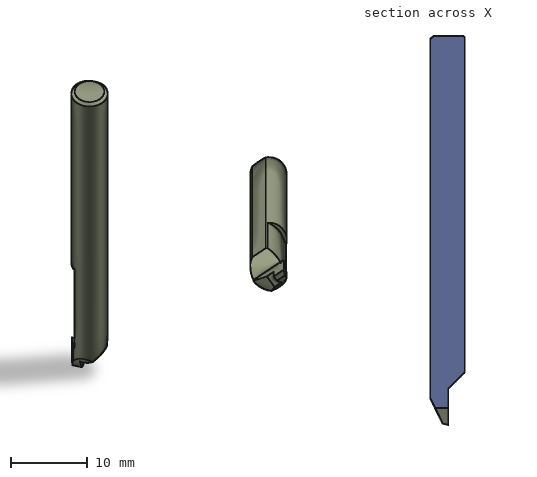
import cadquery as cq

length = 50.8
shank_radius = 2.4
flat_y = 2.15
chamfer_radial = 0.45
chamfer_height = 0.35

neck_top = 19.05
neck_bottom = 4.55
neck_x = -1.9
neck_front_y = -1.85
neck_back_y = 2.05
neck_bulge = 0.15

tooth_right_x = -0.8
tooth_step_z = 2.25
bevel_start_x = 0.25
tooth_side_x = -1.8
tip_land_y = -0.75
tip_land_z = 0.2
heel_z = 3.5
rake_ramp_z = 4.8

margin = 2.55
outside = shank_radius + margin


def shank_x(y):
    """X of the shank's -X side at the given Y."""
    return -((shank_radius**2 - y**2) ** 0.5)


def make_shank():
    profile = [
        (0, 0),
        (shank_radius, 0),
        (shank_radius, length - chamfer_height),
        (shank_radius - chamfer_radial, length),
        (0, length),
    ]
    bar = cq.Workplane("XZ").polyline(profile).close().revolve(360, (0, 0), (0, 1))
    flat_cut = cq.Workplane("XY").box(
        2 * outside, margin, length, centered=(True, False, False)
    )
    return bar.cut(flat_cut.translate((0, flat_y, 0)))


def make_neck_cut():
    """Flat in front of Y = 0, running into a gentle arc behind it."""
    middle_y = neck_back_y / 2
    middle_x = (neck_x + shank_x(neck_back_y)) / 2 - neck_bulge
    return (
        cq.Workplane("XY")
        .workplane(offset=neck_bottom)
        .moveTo(-outside, neck_front_y)
        .lineTo(shank_x(neck_front_y), neck_front_y)
        .lineTo(neck_x, 0)
        .threePointArc((middle_x, middle_y), (shank_x(neck_back_y), neck_back_y))
        .lineTo(-outside, neck_back_y)
        .close()
        .extrude(neck_top - neck_bottom)
    )


def make_tooth_side_cut():
    """Side clearance, tilted away from the cutting edge at Y = 0."""
    side_y = -((shank_radius**2 - tooth_side_x**2) ** 0.5)
    outline = [(-shank_radius, 0), (tooth_side_x, side_y), (-outside, side_y), (-outside, 0)]
    return cq.Workplane("XY").polyline(outline).close().extrude(neck_bottom)


def make_end_cut():
    """Step beside the tooth, followed by a 45 degree bevel out to the +X side."""
    bevel_run = outside - bevel_start_x
    outline = [
        (tooth_right_x, -margin),
        (tooth_right_x, tooth_step_z),
        (bevel_start_x, tooth_step_z),
        (outside, tooth_step_z + bevel_run),
        (outside, -margin),
    ]
    return cq.Workplane("XZ").polyline(outline).close().extrude(outside, both=True)


def make_rake_cut():
    """Removes everything behind Y = 0, ending in a 45 degree ramp."""
    outline = [(0, -margin), (0, rake_ramp_z), (outside, rake_ramp_z + outside), (outside, -margin)]
    return cq.Workplane("YZ").polyline(outline).close().extrude(outside, both=True)


def make_heel_cut():
    """Narrow land under the tip and the steep clearance behind it."""
    outline = [
        (0, 0),
        (tip_land_y, tip_land_z),
        (-shank_radius, heel_z),
        (-outside, heel_z),
        (-outside, -margin),
        (0, -margin),
    ]
    return cq.Workplane("YZ").polyline(outline).close().extrude(outside, both=True)


result = make_shank()
for cut in (
    make_neck_cut(),
    make_tooth_side_cut(),
    make_end_cut(),
    make_rake_cut(),
    make_heel_cut(),
):
    result = result.cut(cut)